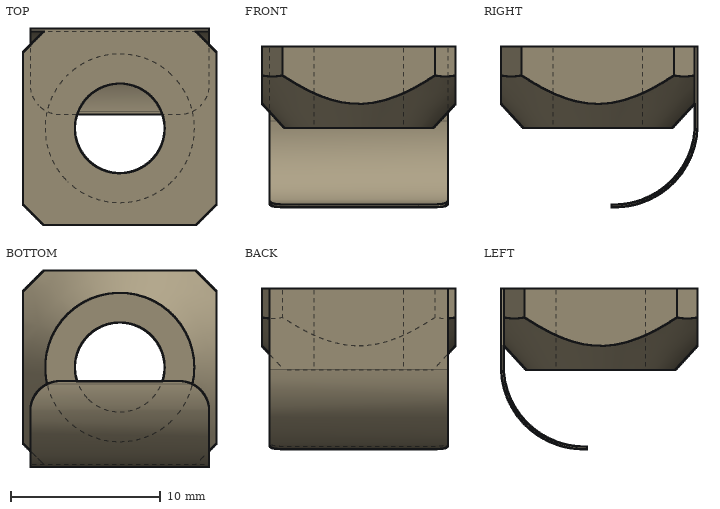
import cadquery as cq

nut_side = 13.0
nut_height = 5.48
corner_chamfer = 1.4
hole_diameter = 6.0

cone_bottom_radius = 5.0
cone_rise_per_run = 1.08

strip_width = 12.0
strip_thickness = 0.2
strip_straight_length = 5.02
bend_drop = 5.78
lip_length = 0.21
strip_reach = 5.78
strip_corner_radius = 2.0


def make_nut():
    block = (
        cq.Workplane("XY")
        .rect(nut_side, nut_side)
        .extrude(-nut_height)
        .edges("|Z")
        .chamfer(corner_chamfer)
    )
    cone_top_radius = cone_bottom_radius + nut_height / cone_rise_per_run
    cone = (
        cq.Workplane("XZ")
        .moveTo(0, -nut_height)
        .lineTo(cone_bottom_radius, -nut_height)
        .lineTo(cone_top_radius, 0)
        .lineTo(0, 0)
        .close()
        .revolve(360, (0, 0), (0, 1))
    )
    hole = cq.Workplane("XY").circle(hole_diameter / 2).extrude(-nut_height)
    return block.intersect(cone).cut(hole)


def bend_radius(run, drop):
    """Radius of an arc that covers run and drop and ends level."""
    return (run**2 + drop**2) / (2 * drop)


def make_strip():
    inner_y = nut_side / 2
    outer_y = inner_y + strip_thickness
    end_y = outer_y - strip_reach
    lip_y = end_y + lip_length
    bend_z = -strip_straight_length
    bottom_z = bend_z - bend_drop
    lip_top_z = bottom_z + strip_thickness
    outer_radius = bend_radius(outer_y - lip_y, bend_z - bottom_z)
    inner_radius = bend_radius(inner_y - lip_y, bend_z - lip_top_z)

    strip = (
        cq.Workplane("YZ")
        .moveTo(outer_y, 0)
        .lineTo(outer_y, bend_z)
        .radiusArc((lip_y, bottom_z), outer_radius)
        .lineTo(end_y, bottom_z)
        .lineTo(end_y, lip_top_z)
        .lineTo(lip_y, lip_top_z)
        .radiusArc((inner_y, bend_z), -inner_radius)
        .lineTo(inner_y, 0)
        .close()
        .extrude(strip_width / 2, both=True)
    )
    rounded_plan = (
        cq.Workplane("XY")
        .center(0, (outer_y + end_y) / 2)
        .rect(strip_width, strip_reach)
        .extrude(bottom_z)
        .edges("|Z and <Y")
        .fillet(strip_corner_radius)
    )
    return strip.intersect(rounded_plan)


result = make_nut().union(make_strip())